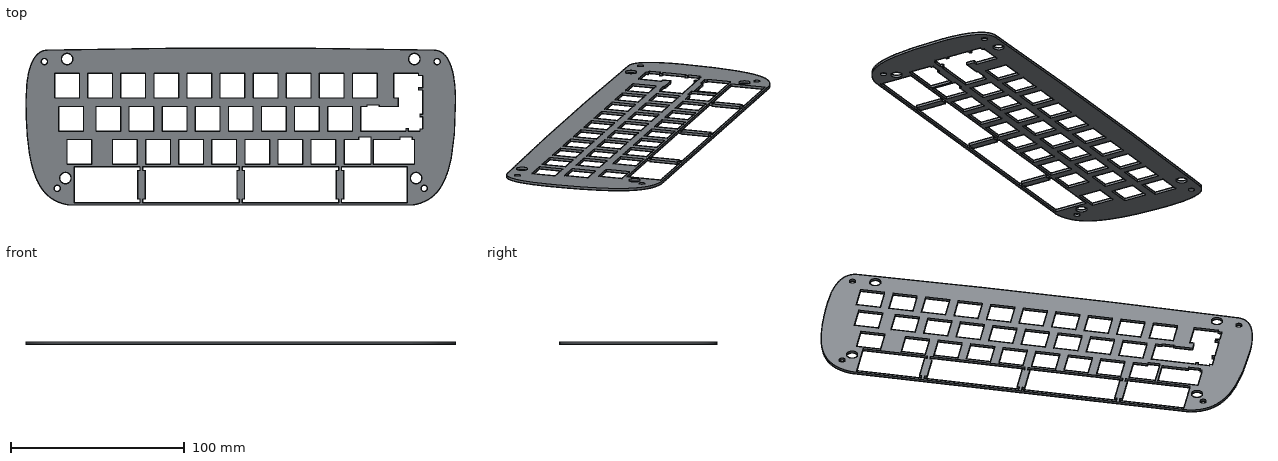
import cadquery as cq

LENGTH = 247.5
WIDTH = 90.5
THICKNESS = 1.5

HALF_LENGTH = LENGTH / 2
HALF_WIDTH = WIDTH / 2

WAIST_Y = 14.8
BACK_CORNER = (111.4, 44.0)
BACK_HANDLE = (119.8, 43.8)
BACK_WAIST_HANDLE_Y = 32.5
FRONT_CORNER_X = 99.0
FRONT_HANDLE = (116.3, -42.5)
FRONT_WAIST_HANDLE_Y = -27.0

PITCH = 19.0
KEY = 14.0
HALF_KEY = KEY / 2
HOME_ROW_Y = 4.5
TOP_ROW_Y = HOME_ROW_Y + PITCH
LOW_ROW_Y = HOME_ROW_Y - PITCH

SHIFT_LEFT_COLUMN = 3.5
SHIFT_RIGHT_COLUMN = 5 - 1 / 8
SHIFT_SLOTS_COLUMN = 4 + 3 / 8
ENTER_TOP_COLUMN = 5
ENTER_HOME_COLUMN = 4

TOP_ROW_COLUMNS = [-5 - 1 / 4 + i for i in range(10)]
HOME_ROW_COLUMNS = [-5 - 1 / 8] + [-4 + i for i in range(8)]
LOW_ROW_COLUMNS = [-5 + 1 / 8] + [-3.5 + i for i in range(7)]

SLOT_SPACING = 23.8
SLOT_WIDTH = 7.0
SLOT_REACH = 8.5
RIB = 1.5

ENTER_TOP_X = ENTER_TOP_COLUMN * PITCH
ENTER_HOME_X = ENTER_HOME_COLUMN * PITCH
ENTER_RIGHT = 104.7
ENTER_STEM_LEFT = 90.8
ENTER_FOOT_RIGHT = 103.2
ENTER_RIB_HEIGHT = 1.5
ENTER_SLOT_RISE = 0.7

SPACE_HALF_LENGTH = 95.8
SPACE_BACK_Y = -23.3
SPACE_FRONT_Y = -43.8
BAR_SPACING = 3 * PITCH
BAR_WIDTH = 4.5
BAR_NECK_WIDTH = 1.7
BAR_NECK_LENGTH = 2.0

LARGE_HOLE = 6.5
SMALL_HOLE = 3.5
LARGE_HOLE_PLACES = [(100.0, 38.8), (101.0, -29.7)]
SMALL_HOLE_PLACES = [(113.0, 37.4), (105.7, -35.6)]


def plate_blank():
    """Plate with a slightly bowed back edge and swept ends."""
    back_x, back_y = BACK_CORNER
    waist = (HALF_LENGTH, WAIST_Y)
    back_curve = [
        BACK_CORNER,
        BACK_HANDLE,
        (HALF_LENGTH, BACK_WAIST_HANDLE_Y),
        waist,
    ]
    front_curve = [
        waist,
        (HALF_LENGTH, FRONT_WAIST_HANDLE_Y),
        FRONT_HANDLE,
        (FRONT_CORNER_X, -HALF_WIDTH),
    ]

    def mirrored(points):
        return [(-x, y) for x, y in reversed(points)]

    return (
        cq.Workplane("XY")
        .workplane(offset=-THICKNESS / 2)
        .moveTo(-back_x, back_y)
        .threePointArc((0, HALF_WIDTH), BACK_CORNER)
        .bezier(back_curve)
        .bezier(front_curve)
        .lineTo(-FRONT_CORNER_X, -HALF_WIDTH)
        .bezier(mirrored(front_curve))
        .bezier(mirrored(back_curve))
        .close()
        .extrude(THICKNESS)
    )


def through_box(left, right, bottom, top):
    """Cutter through the plate with the given edges."""
    middle = ((left + right) / 2, (bottom + top) / 2, 0)
    return cq.Workplane("XY").box(right - left, top - bottom, 2 * THICKNESS).translate(middle)


def key_hole(x, y):
    """Square cutter for one key switch."""
    return through_box(x - HALF_KEY, x + HALF_KEY, y - HALF_KEY, y + HALF_KEY)


def key_holes():
    """Cutters for all the single keys."""
    rows = [
        (TOP_ROW_COLUMNS, TOP_ROW_Y),
        (HOME_ROW_COLUMNS, HOME_ROW_Y),
        (LOW_ROW_COLUMNS, LOW_ROW_Y),
    ]
    return [key_hole(column * PITCH, y) for columns, y in rows for column in columns]


def shift_openings():
    """Two openings at the right end of the low row, each with a stabiliser slot."""
    bottom = LOW_ROW_Y - HALF_KEY
    top = LOW_ROW_Y + HALF_KEY
    slot_top = LOW_ROW_Y + SLOT_REACH
    key_left = SHIFT_LEFT_COLUMN * PITCH - HALF_KEY
    key_right = SHIFT_RIGHT_COLUMN * PITCH + HALF_KEY
    middle = SHIFT_SLOTS_COLUMN * PITCH
    near_slot = middle - SLOT_SPACING / 2
    far_slot = middle + SLOT_SPACING / 2
    split = near_slot + SLOT_WIDTH / 2
    return [
        through_box(key_left, split, bottom, top),
        through_box(split + RIB, key_right, bottom, top),
        through_box(near_slot - SLOT_WIDTH / 2, split, LOW_ROW_Y, slot_top),
        through_box(far_slot - SLOT_WIDTH / 2, far_slot + SLOT_WIDTH / 2, LOW_ROW_Y, slot_top),
    ]


def enter_opening():
    """Angled opening across the top and home rows, with stabiliser slots on its right side."""
    top = TOP_ROW_Y + HALF_KEY
    bottom = HOME_ROW_Y - HALF_KEY
    home_top = HOME_ROW_Y + HALF_KEY
    stem_right = ENTER_TOP_X + HALF_KEY
    home_left = ENTER_HOME_X - HALF_KEY

    middle_y = (TOP_ROW_Y + HOME_ROW_Y) / 2
    high_slot = middle_y + SLOT_SPACING / 2
    low_slot = middle_y - SLOT_SPACING / 2
    high_rib_top = high_slot - SLOT_WIDTH / 2
    low_slot_bottom = low_slot - SLOT_WIDTH / 2
    low_rib_bottom = low_slot + SLOT_WIDTH / 2

    flat_slot = ENTER_HOME_X
    rib_right = flat_slot + SLOT_SPACING - SLOT_WIDTH / 2

    return [
        key_hole(ENTER_TOP_X, TOP_ROW_Y),
        through_box(ENTER_STEM_LEFT, stem_right, HOME_ROW_Y, top),
        through_box(home_left, rib_right - RIB, bottom, home_top),
        through_box(home_left, ENTER_FOOT_RIGHT, bottom + ENTER_RIB_HEIGHT, home_top),
        through_box(rib_right, ENTER_FOOT_RIGHT, bottom, home_top),
        through_box(
            flat_slot - SLOT_WIDTH / 2, flat_slot + SLOT_WIDTH / 2,
            HOME_ROW_Y, home_top + ENTER_SLOT_RISE,
        ),
        through_box(stem_right, ENTER_RIGHT, high_rib_top, high_slot + SLOT_WIDTH / 2),
        through_box(stem_right, ENTER_RIGHT, low_rib_bottom + RIB, high_rib_top - RIB),
        through_box(stem_right, ENTER_RIGHT, low_slot_bottom, low_rib_bottom),
    ]


def space_openings():
    """Four openings in the front row, split by three bars that narrow to a neck at each end."""
    half_neck = BAR_NECK_WIDTH / 2
    bar_centres = [-BAR_SPACING, 0, BAR_SPACING]
    lefts = [-SPACE_HALF_LENGTH] + [x + BAR_WIDTH / 2 for x in bar_centres]
    rights = [x - BAR_WIDTH / 2 for x in bar_centres] + [SPACE_HALF_LENGTH]
    openings = [
        through_box(left, right, SPACE_FRONT_Y, SPACE_BACK_Y)
        for left, right in zip(lefts, rights)
    ]
    for x in bar_centres:
        for left, right in [(x - BAR_WIDTH / 2, x - half_neck), (x + half_neck, x + BAR_WIDTH / 2)]:
            openings.append(
                through_box(left, right, SPACE_BACK_Y - BAR_NECK_LENGTH, SPACE_BACK_Y)
            )
            openings.append(
                through_box(left, right, SPACE_FRONT_Y, SPACE_FRONT_Y + BAR_NECK_LENGTH)
            )
    return openings


def round_holes():
    """Cutters for the large and small holes near the four corners."""
    cutters = []
    for diameter, places in [(LARGE_HOLE, LARGE_HOLE_PLACES), (SMALL_HOLE, SMALL_HOLE_PLACES)]:
        both_sides = places + [(-x, y) for x, y in places]
        cutters.append(
            cq.Workplane("XY")
            .workplane(offset=-THICKNESS)
            .pushPoints(both_sides)
            .circle(diameter / 2)
            .extrude(2 * THICKNESS)
        )
    return cutters


result = plate_blank()
for cutter in key_holes() + shift_openings() + enter_opening() + space_openings() + round_holes():
    result = result.cut(cutter)